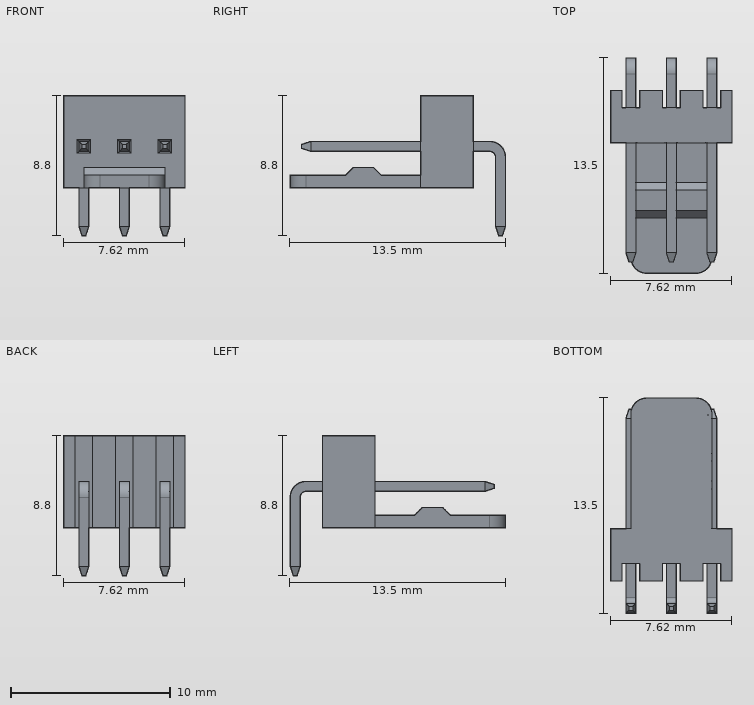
import cadquery as cq


overall_length = 13.52

pin_count = 3
pitch = 2.54
housing_width = pin_count * pitch
housing_depth = 3.3
housing_height = 5.8
notch_width = 1.1
notch_depth = 1.1
recess_size = 0.84

pin_size = 0.64
pin_axis_z = 2.61
pin_reach_front = 7.49
pin_reach_rear = 2.03
pin_reach_below = 3.0
bend_outer_radius = 1.0
tip_length = 0.6
tip_size = 0.25

recess_depth = (recess_size - pin_size) / 2

tab_width = 2 * pitch
tab_thickness = 0.81
tab_length = overall_length - housing_depth - pin_reach_rear
tab_corner_radius = 1.0
ridge_start = 2.49
ridge_base = 2.23
ridge_height = 0.49

pin_places = [(i - (pin_count - 1) / 2) * pitch for i in range(pin_count)]


def box(width, depth, height, x, y_front, z_bottom):
    """Box centred on x, starting at the given front and bottom planes."""
    solid = cq.Workplane("XY").box(width, depth, height, centered=(True, False, False))
    return solid.translate((x, y_front, z_bottom))


def make_housing():
    """Block with a full-height rear notch and a tapered front recess at each pin."""
    housing = box(housing_width, housing_depth, housing_height, 0, 0, 0)
    recess = (
        cq.Workplane("XZ", origin=(0, 0, pin_axis_z))
        .rect(recess_size, recess_size)
        .workplane(offset=-recess_depth)
        .rect(pin_size, pin_size)
        .loft()
    )
    for x in pin_places:
        notch_front = housing_depth - notch_depth
        housing = housing.cut(box(notch_width, notch_depth, housing_height, x, notch_front, 0))
        housing = housing.cut(recess.translate((x, 0, 0)))
    return housing


def make_tab():
    """Flat tab with rounded front corners and a sloped locking ridge across it."""
    plate = box(tab_width, tab_length, tab_thickness, 0, -tab_length, 0)
    plate = plate.edges("|Z and <Y").fillet(tab_corner_radius)
    ridge_back = -ridge_start
    ridge_front = ridge_back - ridge_base
    ridge_top = tab_thickness + ridge_height
    ridge = (
        cq.Workplane("YZ")
        .polyline([
            (ridge_back, tab_thickness),
            (ridge_back - ridge_height, ridge_top),
            (ridge_front + ridge_height, ridge_top),
            (ridge_front, tab_thickness),
        ])
        .close()
        .extrude(tab_width / 2, both=True)
    )
    return plate.union(ridge)


def add_tip(pin, face):
    """Continue the pin from an end face with a tapered tip."""
    return (
        pin.faces(face)
        .workplane(centerOption="CenterOfMass")
        .rect(pin_size, pin_size)
        .workplane(offset=tip_length)
        .rect(tip_size, tip_size)
        .loft(combine=True)
    )


def make_pin():
    """Square pin swept along a right-angle path, with a tapered tip at both ends."""
    bend_radius = bend_outer_radius - pin_size / 2
    leg_y = housing_depth + pin_reach_rear - pin_size / 2
    front_y = -pin_reach_front + tip_length
    leg_bottom = -pin_reach_below + tip_length
    path = (
        cq.Workplane("YZ")
        .moveTo(front_y, pin_axis_z)
        .lineTo(leg_y - bend_radius, pin_axis_z)
        .tangentArcPoint((leg_y, pin_axis_z - bend_radius), relative=False)
        .lineTo(leg_y, leg_bottom)
    )
    pin = (
        cq.Workplane("XZ", origin=(0, front_y, pin_axis_z))
        .rect(pin_size, pin_size)
        .sweep(path)
    )
    return add_tip(add_tip(pin, "<Y"), "<Z")


result = make_housing().union(make_tab())
pin = make_pin()
for x in pin_places:
    result = result.union(pin.translate((x, 0, 0)))